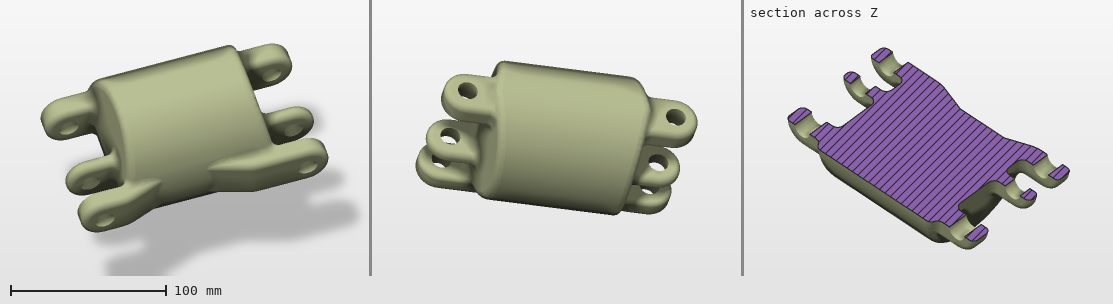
import cadquery as cq
import math

body_radius = 45.0
ridge_reach = 52.0
end_slope = 10.0
body_edge_radius = 5.0

lug_radius = 15.0
lug_edge_radius = 4.0
lug_seat_reach = 40.0
root_radius = 5.0
hole_diameter = 13.0
hole_reach = 68.5
side_lug_x = (-39.0, -23.0)
middle_lug_x = (13.0, 22.5)
strap_x = (39.5, 53.0)

strap_inner_edge_radius = 2.9
strap_buried_x = 36.0
bend_radius = 25.0
rear_bend_y = 32.0
rear_taper = 1 / 3
front_bend_y = 52.0
front_taper = 3 / 8

tip_reach = hole_reach + lug_radius
select_slack = 0.1
touch_tolerance = 1e-4


def build_body():
    """Cylinder whose ends are shallow roofs with the ridge along X, rounded at the rim."""
    eave_reach = ridge_reach - body_radius * math.tan(math.radians(end_slope))
    cylinder = cq.Workplane("XZ").circle(body_radius).extrude(ridge_reach, both=True)
    side_profile = [
        (ridge_reach, 0),
        (eave_reach, body_radius),
        (-eave_reach, body_radius),
        (-ridge_reach, 0),
        (-eave_reach, -body_radius),
        (eave_reach, -body_radius),
    ]
    roofed_block = cq.Workplane("YZ").polyline(side_profile).close().extrude(body_radius, both=True)
    body = cylinder.intersect(roofed_block)
    return body.edges("%ELLIPSE").fillet(body_edge_radius)


def round_ended_block(x_start, x_end, y_inner, direction):
    """Flat block between two X planes, its end toward +Y or -Y rounded about the hole axis."""
    y_hole = direction * hole_reach
    return (
        cq.Workplane("YZ", origin=(x_start, 0, 0))
        .moveTo(y_inner, -lug_radius)
        .lineTo(y_hole, -lug_radius)
        .threePointArc((direction * tip_reach, 0), (y_hole, lug_radius))
        .lineTo(y_inner, lug_radius)
        .close()
        .extrude(x_end - x_start)
    )


def round_rim(lug, x_start, x_end, radius):
    """Round the edges that run around the outline of a lug and lie between two X positions."""
    between = cq.selectors.BoxSelector(
        (x_start - select_slack, -tip_reach, -lug_radius - select_slack),
        (x_end + select_slack, tip_reach, lug_radius + select_slack),
    )
    return lug.edges("not (|X or |Z)").edges(between).fillet(radius)


def build_lug(x_range, direction):
    lug = round_ended_block(*x_range, direction * lug_seat_reach, direction)
    return round_rim(lug, *x_range, lug_edge_radius)


def build_strap(direction, bend_y, taper):
    """Lug whose outer face bends inward and runs down a taper until it sinks into the cylinder."""
    x_inner, x_outer = strap_x
    y_bend = direction * bend_y
    y_taper_end = direction * (bend_y - (x_outer - strap_buried_x) / taper)
    y_seat = direction * lug_seat_reach
    y_tip = direction * tip_reach
    profile = (
        cq.Workplane("XY", origin=(0, 0, -lug_radius))
        .moveTo(x_inner, y_tip)
        .lineTo(x_outer, y_tip)
        .lineTo(x_outer, y_bend)
        .lineTo(strap_buried_x, y_taper_end)
        .lineTo(strap_buried_x, y_seat)
        .lineTo(x_inner, y_seat)
        .close()
        .extrude(2 * lug_radius)
    )
    at_bend = cq.selectors.NearestToPointSelector((x_outer, y_bend, 0))
    profile = profile.edges("|Z").edges(at_bend).fillet(bend_radius)
    strap = profile.intersect(round_ended_block(strap_buried_x, x_outer, y_taper_end, direction))
    strap = round_rim(strap, x_inner + strap_inner_edge_radius, x_outer, lug_edge_radius)
    return round_rim(strap, x_inner, x_inner, strap_inner_edge_radius)


def lies_on(shape, edge):
    """True if the middle of the edge touches the surface of the shape."""
    middle = cq.Vertex.makeVertex(*edge.positionAt(0.5).toTuple())
    return any(face.distance(middle) < touch_tolerance for face in shape.faces().vals())


def attach(part, lug):
    """Join a lug to the part and round the corner where their surfaces meet."""
    joined = part.union(lug)
    root_edges = [edge for edge in joined.edges().vals() if lies_on(lug, edge) and lies_on(part, edge)]
    return joined.newObject(root_edges).fillet(root_radius)


def cut_holes(part):
    """Drill every lug along X, in one line of holes at each end."""
    x_start = -body_radius
    holes = (
        cq.Workplane("YZ", origin=(x_start, 0, 0))
        .pushPoints([(-hole_reach, 0), (hole_reach, 0)])
        .circle(hole_diameter / 2)
        .extrude(strap_x[1] - x_start)
    )
    return part.cut(holes)


part = build_body()
part = attach(part, build_strap(1, rear_bend_y, rear_taper))
part = attach(part, build_strap(-1, front_bend_y, front_taper))
for x_range in (side_lug_x, middle_lug_x):
    for direction in (1, -1):
        part = attach(part, build_lug(x_range, direction))
result = cut_holes(part)